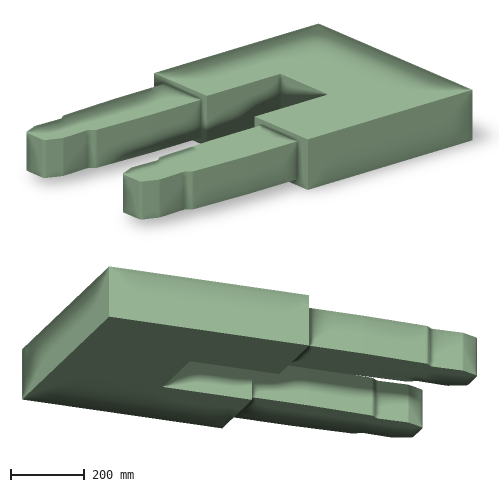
import cadquery as cq

total_length = 1105.0
body_width = 651.0
body_thickness = 147.0

body_length = 582.0
slot_width = 202.0
slot_depth = 260.0

prong_pitch = 408.0
prong_thickness = 110.0
corner_radius = 12.0

root_half = 77.9
shoulder_half = 71.0
neck_half = 56.0
bulge_half = 60.0
tip_half = 39.0

taper_start = 347.0
shoulder_height = 158.0
neck_height = 143.0
bulge_height = 51.0

back_y = total_length / 2
tip_y = -total_length / 2
body_front_y = back_y - body_length


def make_body():
    """U-shaped body, open toward the prongs."""
    block = cq.Workplane("XY").box(body_width, body_length, body_thickness)
    block = block.translate((0, back_y - body_length / 2, 0))
    slot = cq.Workplane("XY").box(slot_width, slot_depth, body_thickness)
    return block.cut(slot.translate((0, body_front_y + slot_depth / 2, 0)))


def make_prong(center_x):
    """Tapered prong with a necked, rounded tip, symmetric about its own axis."""
    side = [
        (root_half, body_front_y),
        (root_half, tip_y + taper_start),
        (shoulder_half, tip_y + shoulder_height),
        (neck_half, tip_y + neck_height),
        (bulge_half, tip_y + bulge_height),
        (tip_half, tip_y),
    ]
    mirrored_side = [(-x, y) for x, y in reversed(side)]
    prong = (
        cq.Workplane("XY")
        .polyline(side + mirrored_side)
        .close()
        .extrude(prong_thickness / 2, both=True)
    )
    tip_zone = cq.selectors.BoxSelector(
        (-root_half, tip_y - corner_radius, -prong_thickness),
        (root_half, tip_y + shoulder_height + corner_radius, prong_thickness),
    )
    prong = prong.edges("|Z").edges(tip_zone).fillet(corner_radius)
    return prong.translate((center_x, 0, 0))


result = make_body()
for side_sign in (-1, 1):
    result = result.union(make_prong(side_sign * prong_pitch / 2))